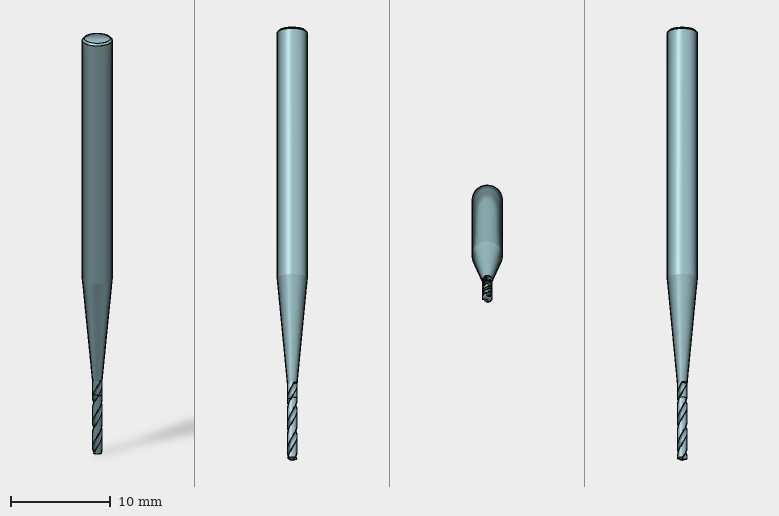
import cadquery as cq
import math

TOTAL_LENGTH = 45.0
SHANK_DIAMETER = 3.0
SHANK_CHAMFER = 0.202
DRILL_DIAMETER = 1.0
POINT_ANGLE = 135.0

CUTTER_TOP = 6.5
TAPER_BOTTOM = 8.1
TAPER_TOP = 19.05

FLUTE_COUNT = 2
HELIX_ANGLE = 30.0
FLUTE_RADIUS = 0.3
WEB_THICKNESS = 0.35
FLUTE_CROSSING_HEIGHT = 2.0

SHANK_RADIUS = SHANK_DIAMETER / 2
DRILL_RADIUS = DRILL_DIAMETER / 2
ENVELOPE_RADIUS = SHANK_RADIUS
POINT_SLOPE = 1 / math.tan(math.radians(POINT_ANGLE / 2))
HELIX_PITCH = math.pi * DRILL_DIAMETER / math.tan(math.radians(HELIX_ANGLE))
FLUTE_OFFSET = WEB_THICKNESS / 2 + FLUTE_RADIUS


def twist_at(height):
    """Direction of the first flute at a height, in degrees from +X."""
    return 360 * (height - FLUTE_CROSSING_HEIGHT) / HELIX_PITCH


def fluted_rod(bottom, top):
    """Twisted rod whose flutes follow the common helix."""
    section = cq.Sketch().circle(DRILL_RADIUS)
    for index in range(FLUTE_COUNT):
        angle = math.radians(twist_at(bottom) + index * 360 / FLUTE_COUNT)
        center = cq.Location(cq.Vector(FLUTE_OFFSET * math.cos(angle), FLUTE_OFFSET * math.sin(angle)))
        section = section.push([center]).circle(FLUTE_RADIUS, mode="s").reset()
    twist = twist_at(top) - twist_at(bottom)
    return cq.Workplane("XY").workplane(offset=bottom).placeSketch(section).twistExtrude(top - bottom, twist)


def make_cutter():
    """Fluted cutting end with a conical drill point."""
    pointed_envelope = (
        cq.Workplane("XZ")
        .lineTo(ENVELOPE_RADIUS, ENVELOPE_RADIUS * POINT_SLOPE)
        .lineTo(ENVELOPE_RADIUS, TAPER_BOTTOM)
        .lineTo(0, TAPER_BOTTOM)
        .close()
        .revolve()
    )
    return fluted_rod(0, CUTTER_TOP).intersect(pointed_envelope)


def make_shank():
    """Chamfered shank tapering to the neck in which the flutes end."""
    turned_body = (
        cq.Workplane("XZ")
        .moveTo(0, TAPER_BOTTOM)
        .lineTo(DRILL_RADIUS, TAPER_BOTTOM)
        .lineTo(SHANK_RADIUS, TAPER_TOP)
        .lineTo(SHANK_RADIUS, TOTAL_LENGTH)
        .lineTo(0, TOTAL_LENGTH)
        .close()
        .revolve()
        .faces(">Z")
        .chamfer(SHANK_CHAMFER)
    )
    return turned_body.union(fluted_rod(CUTTER_TOP, TAPER_BOTTOM))


cutter = make_cutter().solids()
shank = make_shank().solids()

result = cq.Compound.makeCompound([cutter.val(), shank.val()])